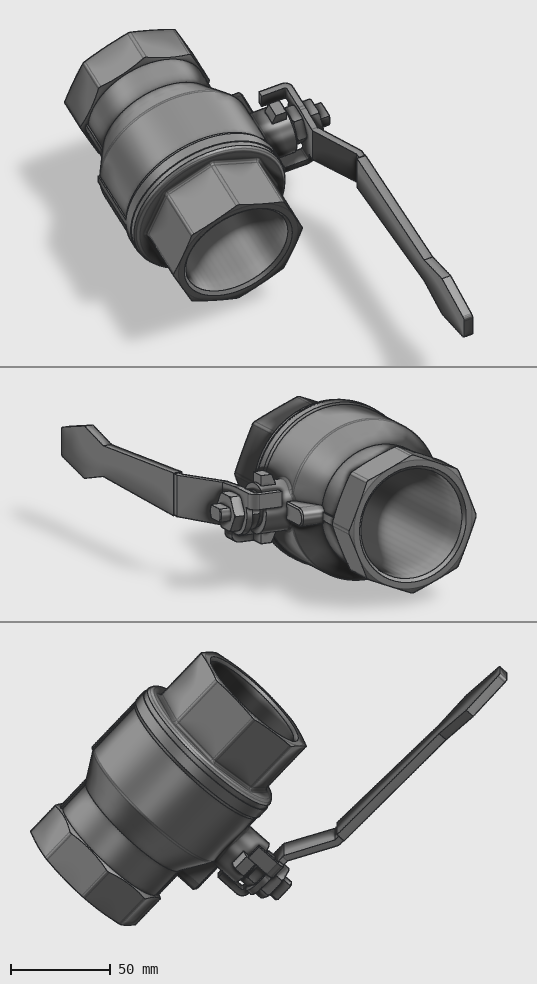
import cadquery as cq
import math


OVERALL_LENGTH = 221.4
BODY_LENGTH = 127.0
X_LEFT = -BODY_LENGTH / 2
X_RIGHT = BODY_LENGTH / 2
X_LEFT_OCTAGON_END = X_LEFT + 20.4
X_CONE_START = X_LEFT + 37.3
X_CONE_END = X_LEFT + 53.2
X_RING_START = X_LEFT + 85.4
X_RING_END = X_LEFT + 90.9
X_FLANGE_END = X_LEFT + 95.9

BORE_RADIUS = 56.66 / 2
BORE_MOUTH_RADIUS = 30.0
NECK_RADIUS = 32.4
BARREL_RADIUS = 41.7
CONE_BLEND_RADIUS = 2.5
RING_RADIUS = 85.0 / 2
RING_SLOPE = 1.6
FLANGE_RADIUS = 84.0 / 2
FLANGE_CHAMFER_LENGTH = 2.3
FLANGE_CHAMFER_DEPTH = 1.2
FLANGE_ROOT_FILLET = 1.8

JOINT_OVERLAP = 1.0

OCTAGON_FLATS = 66.5
OCTAGON_CORNER = OCTAGON_FLATS / math.cos(math.pi / 8) / 2
OCTAGON_FILLET = 2.5
END_CHAMFER = 0.5
BACK_CHAMFER = 1.8

RIB_WIDTH = 4.4
RIB_HEIGHT = 1.0
X_RIB_END = X_CONE_START + 1.6

HOUSING_DIAMETER = 26.0
HOUSING_TOP = 56.7
HOUSING_FILLET = 1.5
LUG_WIDTH = 8.6
LUG_REACH = 17.7
LUG_TOP = 55.2
LUG_BOTTOM_OUTER = 49.3
LUG_BOTTOM_INNER = 47.2
BUTTRESS_TIP = -30.0
BUTTRESS_WIDTH = 9.6
BUTTRESS_TOP = 45.1
BUTTRESS_CHAMFER = 0.8

GLAND_DIAMETER = 18.9
STEM_DIAMETER = 12.0
STEM_FLATS = 6.8
STEM_TOP = 78.8
NUT_FLATS = 18.0
STEM_CHAMFER = 0.5
NUT_CHAMFER = 0.6
LOWER_NUT_BOTTOM = 58.5
UPPER_NUT_HEIGHT = 5.8

PLATE_THICKNESS = 3.3
PLATE_BOTTOM = 63.9
PLATE_TOP = PLATE_BOTTOM + PLATE_THICKNESS
HUB_RADIUS = 12.2
TAB_REACH = 17.9
TAB_INNER_EDGE = LUG_WIDTH / 2
TAB_BOTTOM = 50.4
BEND_RADIUS = 4.2
RAMP_START = 15.0
RAMP_END = 38.3
RAMP_ANGLE = math.radians(30)
RAMP_START_HALF_WIDTH = 11.1
RAMP_END_HALF_WIDTH = 10.7
GRIP_START = 41.9
GRIP_END = OVERALL_LENGTH + X_LEFT
GRIP_TOP = 85.0
GRIP_THICKNESS = 4.8
GRIP_ANGLE = math.radians(2)
GRIP_WAIST_X = 114.6
GRIP_BULGE_X = 133.9
GRIP_START_HALF_WIDTH = 11.1
GRIP_WAIST_HALF_WIDTH = 8.0
GRIP_BULGE_HALF_WIDTH = 13.6
GRIP_END_HALF_WIDTH = 7.3
GRIP_CORNER_RADIUS = 2.0


def revolve_about_x(points):
    """Solid of revolution about X from a closed (x, radius) outline."""
    return cq.Workplane("XY").polyline(points).close().revolve(360, (0, 0, 0), (1, 0, 0))


def box(x_range, y_range, z_range):
    """Axis-aligned box between the given (low, high) limits."""
    ranges = (x_range, y_range, z_range)
    sizes = [high - low for low, high in ranges]
    corner = tuple(low for low, high in ranges)
    return cq.Workplane("XY").box(*sizes, centered=False).translate(corner)


def along_y(bottom):
    """Workplane at height Y = bottom, local x = X, local y = Z, extruding towards -Y."""
    return cq.Workplane("XZ", origin=(0, bottom, 0))


def cylinder_y(diameter, bottom, top):
    return along_y(bottom).circle(diameter / 2).extrude(bottom - top)


def octagon_end(x_start, x_end, start_chamfer, end_chamfer):
    """Octagon with corners on Y and Z; the chamfers are (axial length, radius at the face)."""
    prism = (
        cq.Workplane("YZ", origin=(x_start, 0, 0))
        .polygon(8, 2 * OCTAGON_CORNER)
        .extrude(x_end - x_start)
        .edges("|X")
        .fillet(OCTAGON_FILLET)
    )
    start_length, start_radius = start_chamfer
    end_length, end_radius = end_chamfer
    envelope = revolve_about_x([
        (x_start, 0),
        (x_start, start_radius),
        (x_start + start_length, OCTAGON_CORNER),
        (x_end - end_length, OCTAGON_CORNER),
        (x_end, end_radius),
        (x_end, 0),
    ])
    return prism.intersect(envelope)


def make_shell():
    """Body of revolution joined to the stem housing by a fillet."""
    shell = revolve_about_x([
        (X_LEFT_OCTAGON_END - JOINT_OVERLAP, 0),
        (X_LEFT_OCTAGON_END - JOINT_OVERLAP, NECK_RADIUS),
        (X_CONE_START, NECK_RADIUS),
        (X_CONE_END, BARREL_RADIUS),
        (X_RING_START - RING_SLOPE, BARREL_RADIUS),
        (X_RING_START, RING_RADIUS),
        (X_RING_END, RING_RADIUS),
        (X_RING_END, 0),
    ])
    cone_edge = cq.selectors.NearestToPointSelector((X_CONE_END, 0, 0))
    shell = shell.edges("%CIRCLE").edges(cone_edge).fillet(CONE_BLEND_RADIUS)
    housing = cylinder_y(HOUSING_DIAMETER, 0, HOUSING_TOP)
    return shell.union(housing).edges("%BSPLINE").fillet(HOUSING_FILLET)


def make_parting_rib(x_start, x_end, radius):
    """Narrow rib along both sides of the body at Z = 0, its crest at the given radius."""
    slab = box((x_start, x_end), (-radius, radius), (-RIB_WIDTH / 2, RIB_WIDTH / 2))
    crest = cq.Workplane("YZ", origin=(x_start, 0, 0)).circle(radius).extrude(x_end - x_start)
    return slab.intersect(crest)


def make_right_end():
    """Screwed-in end piece: round flange with an octagon filleted onto it."""
    flange = revolve_about_x([
        (X_RING_END, 0),
        (X_RING_END, FLANGE_RADIUS),
        (X_FLANGE_END - FLANGE_CHAMFER_LENGTH, FLANGE_RADIUS),
        (X_FLANGE_END, FLANGE_RADIUS - FLANGE_CHAMFER_DEPTH),
        (X_FLANGE_END, 0),
    ])
    plain_chamfer = (END_CHAMFER, OCTAGON_FLATS / 2)
    octagon = octagon_end(X_FLANGE_END - JOINT_OVERLAP, X_RIGHT, plain_chamfer, plain_chamfer)
    reach = OCTAGON_CORNER + JOINT_OVERLAP
    margin = JOINT_OVERLAP / 10
    root = cq.selectors.BoxSelector(
        (X_FLANGE_END - margin, -reach, -reach), (X_FLANGE_END + margin, reach, reach)
    )
    return flange.union(octagon).edges(root).fillet(FLANGE_ROOT_FILLET)


def make_lug(side):
    """Lever stop on the housing, on the +Z (side = 1) or -Z (side = -1) face."""
    outline = [
        (LUG_TOP, 0),
        (LUG_TOP, side * LUG_REACH),
        (LUG_BOTTOM_OUTER, side * LUG_REACH),
        (LUG_BOTTOM_INNER, side * HOUSING_DIAMETER / 2),
        (LUG_BOTTOM_INNER, 0),
    ]
    return cq.Workplane("YZ").polyline(outline).close().extrude(LUG_WIDTH / 2, both=True)


def make_buttress():
    """Round-nosed buttress between the neck and the stem housing."""
    half = BUTTRESS_WIDTH / 2
    block = (
        along_y(BORE_RADIUS)
        .moveTo(0, half)
        .lineTo(BUTTRESS_TIP + half, half)
        .threePointArc((BUTTRESS_TIP, 0), (BUTTRESS_TIP + half, -half))
        .lineTo(0, -half)
        .close()
        .extrude(BORE_RADIUS - BUTTRESS_TOP)
    )
    return block.faces(">Y").edges().chamfer(BUTTRESS_CHAMFER)


def make_nut(bottom, top):
    """Hexagon nut with two corners on X and conical chamfers."""
    corner_diameter = NUT_FLATS / math.cos(math.pi / 6)
    hexagon = along_y(bottom).polygon(6, corner_diameter).extrude(bottom - top)
    envelope = cylinder_y(corner_diameter, bottom, top).edges().chamfer(NUT_CHAMFER)
    return hexagon.intersect(envelope)


def make_stem():
    gland = cylinder_y(GLAND_DIAMETER, HOUSING_TOP - JOINT_OVERLAP, LOWER_NUT_BOTTOM)
    half_flats = STEM_FLATS / 2
    flats = box((-STEM_DIAMETER, STEM_DIAMETER), (0, STEM_TOP), (-half_flats, half_flats))
    rod = cylinder_y(STEM_DIAMETER, LOWER_NUT_BOTTOM, STEM_TOP)
    stem = rod.faces(">Y").edges().chamfer(STEM_CHAMFER).intersect(flats)
    lower_nut = make_nut(LOWER_NUT_BOTTOM, PLATE_BOTTOM)
    upper_nut = make_nut(PLATE_TOP, PLATE_TOP + UPPER_NUT_HEIGHT)
    return gland.union(stem).union(lower_nut).union(upper_nut)


def make_stop_tab():
    """Tab bent down from the -X end of the lever plate."""
    tab_range = (TAB_INNER_EDGE, HUB_RADIUS)
    outer = box((-TAB_REACH, 0), (TAB_BOTTOM, PLATE_TOP), tab_range)
    outer = outer.edges("<X and >Y").fillet(BEND_RADIUS)
    inside = box((PLATE_THICKNESS - TAB_REACH, 0), (TAB_BOTTOM, PLATE_BOTTOM), tab_range)
    inside = inside.edges("<X and >Y").fillet(BEND_RADIUS - PLATE_THICKNESS)
    return outer.cut(inside)


def symmetric_blade(upper_edge):
    """Prism along Y whose (x, z) outline is the given edge and its mirror image in Z."""
    lower_edge = [(x, -z) for x, z in reversed(upper_edge)]
    return along_y(0).polyline(upper_edge + lower_edge).close().extrude(-GRIP_TOP)


def make_lever_plate():
    """Flat hub with two stop tabs, then the ramp up to the grip."""
    hub = cylinder_y(2 * HUB_RADIUS, PLATE_BOTTOM, PLATE_TOP)
    end_tab = make_stop_tab()
    side_tab = end_tab.rotate((0, 0, 0), (0, 1, 0), -90).mirror("YZ")
    rise = (RAMP_END - RAMP_START) * math.tan(RAMP_ANGLE)
    offset = PLATE_THICKNESS * math.tan(RAMP_ANGLE / 2)
    grip_rise = (GRIP_START - RAMP_END) * math.tan(GRIP_ANGLE)
    strip_end = GRIP_START + JOINT_OVERLAP
    strip = [
        (0, PLATE_TOP),
        (RAMP_START, PLATE_TOP),
        (RAMP_END, PLATE_TOP + rise),
        (strip_end, PLATE_TOP + rise + grip_rise),
        (strip_end, PLATE_BOTTOM + rise + grip_rise),
        (RAMP_END + offset, PLATE_BOTTOM + rise),
        (RAMP_START + offset, PLATE_BOTTOM),
        (0, PLATE_BOTTOM),
    ]
    ramp = cq.Workplane("XY").polyline(strip).close().extrude(HUB_RADIUS, both=True)
    upper_edge = [
        (0, HUB_RADIUS),
        (RAMP_START, RAMP_START_HALF_WIDTH),
        (strip_end, RAMP_END_HALF_WIDTH),
    ]
    ramp = ramp.intersect(symmetric_blade(upper_edge))
    return hub.union(end_tab).union(side_tab).union(ramp)


def make_grip():
    """Tilted sleeve with a waist, a bulge and a blunt rounded end."""
    drop = (GRIP_END - GRIP_START) * math.tan(GRIP_ANGLE)
    side = [
        (GRIP_START, GRIP_TOP - drop),
        (GRIP_END, GRIP_TOP),
        (GRIP_END, GRIP_TOP - GRIP_THICKNESS),
        (GRIP_START, GRIP_TOP - GRIP_THICKNESS - drop),
    ]
    slab = cq.Workplane("XY").polyline(side).close().extrude(GRIP_BULGE_HALF_WIDTH, both=True)
    upper_edge = [
        (GRIP_START, GRIP_START_HALF_WIDTH),
        (GRIP_WAIST_X, GRIP_WAIST_HALF_WIDTH),
        (GRIP_BULGE_X, GRIP_BULGE_HALF_WIDTH),
        (GRIP_END, GRIP_END_HALF_WIDTH),
    ]
    blade = symmetric_blade(upper_edge).edges("|Y and >X").fillet(GRIP_CORNER_RADIUS)
    return slab.intersect(blade)


def make_bore():
    mouth = BORE_MOUTH_RADIUS - BORE_RADIUS
    return revolve_about_x([
        (X_LEFT, 0),
        (X_LEFT, BORE_MOUTH_RADIUS),
        (X_LEFT + mouth, BORE_RADIUS),
        (X_RIGHT - mouth, BORE_RADIUS),
        (X_RIGHT, BORE_MOUTH_RADIUS),
        (X_RIGHT, 0),
    ])


left_end = octagon_end(
    X_LEFT, X_LEFT_OCTAGON_END, (END_CHAMFER, OCTAGON_FLATS / 2), (BACK_CHAMFER, NECK_RADIUS)
)

neck_rib = make_parting_rib(X_LEFT_OCTAGON_END - BACK_CHAMFER, X_RIB_END, NECK_RADIUS + RIB_HEIGHT)
barrel_rib = make_parting_rib(X_CONE_END, X_RING_START, RING_RADIUS)

result = make_shell().union(neck_rib).union(barrel_rib).union(make_buttress())
result = result.union(left_end).union(make_right_end())
for lug_side in (1, -1):
    result = result.union(make_lug(lug_side))
result = result.cut(make_bore())
result = result.union(make_stem()).union(make_lever_plate()).union(make_grip())